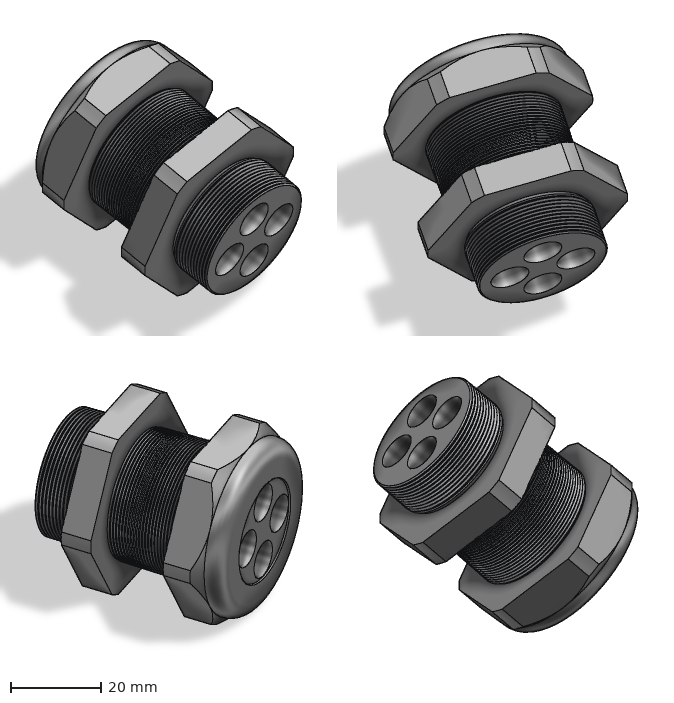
import cadquery as cq
import math


overall_length = 49.78
nut_length = 13.3
flange_start = 31.37
flange_end = 38.8

across_flats = 41.91
across_corners = 46.51
corner_radius = across_corners / 2

collar_radius = across_flats / 2
dome_radius = 3.81
collar_length = 0.45
cone_start = dome_radius + collar_length
cone_end = cone_start + corner_radius - collar_radius

bore_radius = 12.4
core_radius = 12.25
core_recess = 0.4
lip_thickness = dome_radius

hole_count = 4
hole_radius = 4.4
hole_circle_radius = 7.68

nut_thread_root = 15.45
nut_thread_first_crest = 15.9
nut_thread_last_crest = 15.6
nut_thread_pitch = 0.762
nut_thread_lead = 0.63
nut_thread_first_ridge = nut_length + nut_thread_lead
nut_thread_count = 23

end_thread_root = 14.72
end_thread_first_crest = 15.22
end_thread_last_crest = 15.1
end_thread_pitch = 0.88
end_thread_count = 11
end_thread_margin = 0.33
end_thread_last_ridge = overall_length - end_thread_margin
end_thread_first_ridge = end_thread_last_ridge - end_thread_pitch * (end_thread_count - 1)
neck_radius = 14.45
neck_end_radius = 15.05
neck_end = end_thread_first_ridge - end_thread_pitch
neck_sag = 0.08

ridge_slope = 0.84


def revolve_about_x(profile):
    """Turn a closed profile of (x, radius) around the X axis."""
    return profile.close().revolve(360, (0, 0, 0), (1, 0, 0))


def cylinder(radius, start, end):
    return cq.Workplane("YZ", origin=(start, 0, 0)).circle(radius).extrude(end - start)


def hexagon(start, end):
    """Hexagonal prism with flats on +Z and -Z and its corners turned round."""
    corner_diameter = across_flats / math.cos(math.pi / 6)
    prism = cq.Workplane("YZ", origin=(start, 0, 0)).polygon(6, corner_diameter).extrude(end - start)
    return prism.intersect(cylinder(corner_radius, start, end))


def add_ridges(profile, root, first_crest, last_crest, first_ridge, pitch, count):
    """Draw a row of pointed thread ridges on a profile that already lies on the root radius."""
    for index in range(count):
        middle = first_ridge + index * pitch
        crest = first_crest + (last_crest - first_crest) * index / (count - 1)
        half_width = (crest - root) * ridge_slope
        profile = profile.lineTo(middle - half_width, root)
        profile = profile.lineTo(middle, crest)
        profile = profile.lineTo(middle + half_width, root)
    return profile


def make_nut():
    arc_middle = dome_radius * (1 - math.sqrt(0.5))
    envelope = revolve_about_x(
        cq.Workplane("XY")
        .moveTo(0, 0)
        .lineTo(0, collar_radius - dome_radius)
        .threePointArc((arc_middle, collar_radius - arc_middle), (dome_radius, collar_radius))
        .lineTo(cone_start, collar_radius)
        .lineTo(cone_end, corner_radius)
        .lineTo(nut_length, corner_radius)
        .lineTo(nut_length, 0)
    )
    nut = hexagon(0, nut_length).intersect(envelope)
    nut = nut.cut(cylinder(bore_radius, 0, nut_length))
    return nut.cut(cylinder(nut_thread_root, lip_thickness, nut_length))


def make_body():
    front = (
        cq.Workplane("XY")
        .moveTo(core_recess, 0)
        .lineTo(core_recess, core_radius)
        .lineTo(lip_thickness, core_radius)
        .lineTo(lip_thickness, nut_thread_root)
    )
    front = add_ridges(
        front, nut_thread_root, nut_thread_first_crest, nut_thread_last_crest,
        nut_thread_first_ridge, nut_thread_pitch, nut_thread_count,
    )
    front = front.lineTo(flange_end, nut_thread_root).lineTo(flange_end, 0)

    neck_middle = ((flange_end + neck_end) / 2, (neck_radius + neck_end_radius) / 2 - neck_sag)
    neck_crest_width = (neck_end_radius - end_thread_root) * ridge_slope
    back = (
        cq.Workplane("XY")
        .moveTo(flange_start, 0)
        .lineTo(flange_start, neck_radius)
        .lineTo(flange_end, neck_radius)
        .threePointArc(neck_middle, (neck_end, neck_end_radius))
        .lineTo(neck_end + neck_crest_width, end_thread_root)
    )
    back = add_ridges(
        back, end_thread_root, end_thread_first_crest, end_thread_last_crest,
        end_thread_first_ridge, end_thread_pitch, end_thread_count,
    )
    back = back.lineTo(overall_length, end_thread_root).lineTo(overall_length, 0)

    body = revolve_about_x(front).union(hexagon(flange_start, flange_end)).union(revolve_about_x(back))
    holes = (
        cq.Workplane("YZ")
        .polarArray(hole_circle_radius, 0, 360, hole_count)
        .circle(hole_radius)
        .extrude(overall_length)
    )
    return body.cut(holes)


nut = make_nut()
body = make_body()

result = cq.Compound.makeCompound([nut.val(), body.val()])